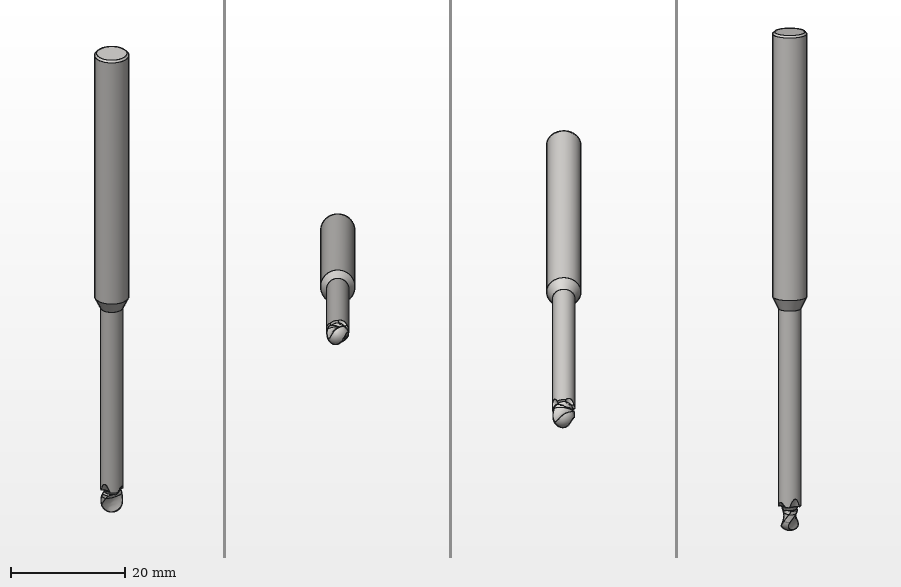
import cadquery as cq
import math

TOTAL_LENGTH = 90.0
SHANK_DIAMETER = 6.0
SHANK_RADIUS = SHANK_DIAMETER / 2
SHANK_CHAMFER = 0.4
SHANK_START = 42.2
TAPER_LENGTH = 2.2
NECK_RADIUS = 2.0
NECK_START = 4.5

BALL_RADIUS = 1.9
WEB_HALF_WIDTH = 2.2
WEB_HALF_THICKNESS = 1.1
HEAD_HEIGHT = 3.2
TIP_ANGLE = 8.0
TWIST_RATE = 22.22
WEB_TOP = 3.9
CORE_BASE_RADIUS = 0.9
CORE_TOP_RADIUS = 1.5

RUNOUT_RADIUS = 1.3
RUNOUT_FLOOR = 1.3
LONG_RUNOUT_HEIGHT = 1.5
LONG_RUNOUT_ANGLE = -85.0
SHORT_RUNOUT_HEIGHT = 0.8
SHORT_RUNOUT_ANGLE = 195.0
CUTTER_LENGTH = 5.0


def twisted_web(bottom, top):
    """Elliptical web between two heights, following the flute helix."""
    height = top - bottom
    return (
        cq.Workplane("XY")
        .ellipse(WEB_HALF_WIDTH, WEB_HALF_THICKNESS)
        .twistExtrude(height, TWIST_RATE * height)
        .rotate((0, 0, 0), (0, 0, 1), TIP_ANGLE + TWIST_RATE * bottom)
        .translate((0, 0, bottom))
    )


def ball_blank():
    """Round-nosed rod that bounds the cutting head."""
    return (
        cq.Workplane("XZ")
        .moveTo(0, 0)
        .radiusArc((BALL_RADIUS, BALL_RADIUS), -BALL_RADIUS)
        .lineTo(BALL_RADIUS, HEAD_HEIGHT)
        .lineTo(0, HEAD_HEIGHT)
        .close()
        .revolve(360, (0, 0, 0), (0, 1, 0))
    )


def make_cutting_head():
    return ball_blank().intersect(twisted_web(0, HEAD_HEIGHT))


def runout_cutter(height, angle):
    """Sloping cylinder whose floor leaves the neck surface at the given height."""
    slope = math.atan2(NECK_RADIUS - RUNOUT_FLOOR, height)
    floor_to_axis = RUNOUT_RADIUS / math.cos(slope)
    return (
        cq.Workplane("XY")
        .circle(RUNOUT_RADIUS)
        .extrude(CUTTER_LENGTH / 2, both=True)
        .rotate((0, 0, 0), (0, 1, 0), math.degrees(slope))
        .translate((RUNOUT_FLOOR + floor_to_axis, 0, NECK_START))
        .rotate((0, 0, 0), (0, 0, 1), angle)
    )


def turned_holder():
    """Neck, taper and chamfered shank turned about Z."""
    return (
        cq.Workplane("XZ")
        .moveTo(0, NECK_START)
        .lineTo(NECK_RADIUS, NECK_START)
        .lineTo(NECK_RADIUS, SHANK_START - TAPER_LENGTH)
        .lineTo(SHANK_RADIUS, SHANK_START)
        .lineTo(SHANK_RADIUS, TOTAL_LENGTH - SHANK_CHAMFER)
        .lineTo(SHANK_RADIUS - SHANK_CHAMFER, TOTAL_LENGTH)
        .lineTo(0, TOTAL_LENGTH)
        .close()
        .revolve(360, (0, 0, 0), (0, 1, 0))
    )


def tapered_core():
    """Cone from inside the web at the head joint to the end of the neck."""
    return (
        cq.Workplane("XZ")
        .moveTo(0, HEAD_HEIGHT)
        .lineTo(CORE_BASE_RADIUS, HEAD_HEIGHT)
        .lineTo(CORE_TOP_RADIUS, NECK_START)
        .lineTo(0, NECK_START)
        .close()
        .revolve(360, (0, 0, 0), (0, 1, 0))
    )


def web_stub():
    """Continuation of the cutting lobes above the head joint."""
    height = WEB_TOP - HEAD_HEIGHT
    rod = cq.Workplane("XY", origin=(0, 0, HEAD_HEIGHT)).circle(BALL_RADIUS).extrude(height)
    return rod.intersect(twisted_web(HEAD_HEIGHT, WEB_TOP))


def make_holder():
    holder = turned_holder()
    for half_turn in (0, 180):
        holder = holder.cut(runout_cutter(LONG_RUNOUT_HEIGHT, LONG_RUNOUT_ANGLE + half_turn))
        holder = holder.cut(runout_cutter(SHORT_RUNOUT_HEIGHT, SHORT_RUNOUT_ANGLE + half_turn))
    return holder.union(tapered_core()).union(web_stub())


cutting_head = make_cutting_head()
holder = make_holder()
result = cq.Compound.makeCompound([cutting_head.val(), holder.val()])